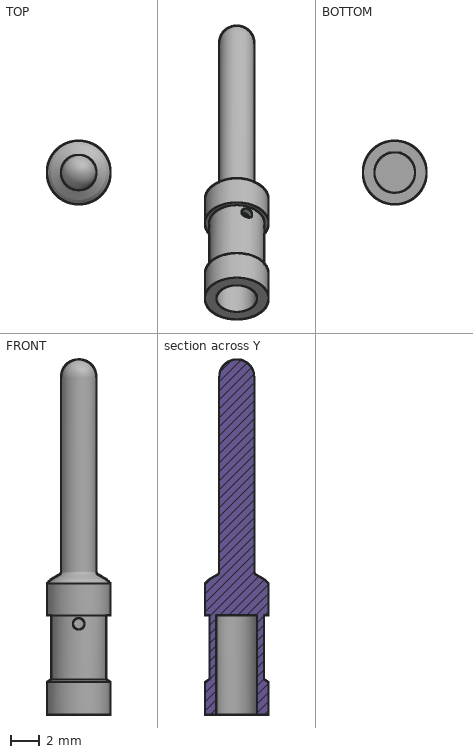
import cadquery as cq
import math

total_length = 25.0
pin_radius = 2.5 / 2
barrel_radius = 3.9 / 2
collar_radius = 4.5 / 2

rear_collar_top = 2.5
rear_chamfer_height = 0.2

front_collar_bottom = 7.0
pin_base = 10.05

cone_slope = math.radians(30)
front_chamfer = collar_radius - barrel_radius
fillet_radius = 0.2
fillet_turn = math.pi / 2 - cone_slope
cone_top_radius = pin_radius + fillet_radius * (1 - math.cos(fillet_turn))
cone_height = (barrel_radius - cone_top_radius) * math.tan(cone_slope)
cone_top = pin_base - fillet_radius * math.sin(fillet_turn)
cone_bottom = cone_top - cone_height
front_chamfer_bottom = cone_bottom - front_chamfer

bore_radius = 2.85 / 2
bore_depth = front_collar_bottom

hole_radius = 0.8 / 2
hole_height = 6.4


def make_body():
    """Revolve the half profile (X is radius, Y is height along the axis) about Z."""
    fillet_center_radius = pin_radius + fillet_radius
    fillet_mid = (
        fillet_center_radius - fillet_radius * math.cos(fillet_turn / 2),
        pin_base - fillet_radius * math.sin(fillet_turn / 2),
    )
    dome_base = total_length - pin_radius
    dome_mid = (
        pin_radius * math.cos(math.pi / 4),
        dome_base + pin_radius * math.sin(math.pi / 4),
    )
    profile = (
        cq.Workplane("XZ")
        .moveTo(0, 0)
        .lineTo(collar_radius, 0)
        .lineTo(collar_radius, rear_collar_top - rear_chamfer_height)
        .lineTo(barrel_radius, rear_collar_top)
        .lineTo(barrel_radius, front_collar_bottom)
        .lineTo(collar_radius, front_collar_bottom)
        .lineTo(collar_radius, front_chamfer_bottom)
        .lineTo(barrel_radius, cone_bottom)
        .lineTo(cone_top_radius, cone_top)
        .threePointArc(fillet_mid, (pin_radius, pin_base))
        .lineTo(pin_radius, dome_base)
        .threePointArc(dome_mid, (0, total_length))
        .close()
    )
    return profile.revolve(360, (0, 0, 0), (0, 1, 0))


def make_wire_bore():
    """Flat-bottomed cylinder along the axis from the wire end."""
    return cq.Workplane("XY").circle(bore_radius).extrude(bore_depth)


def make_inspection_hole():
    """Radial cylinder from the axis out past the barrel surface on the -Y side."""
    return (
        cq.Workplane("XZ")
        .center(0, hole_height)
        .circle(hole_radius)
        .extrude(collar_radius)
    )


result = make_body().cut(make_wire_bore()).cut(make_inspection_hole())